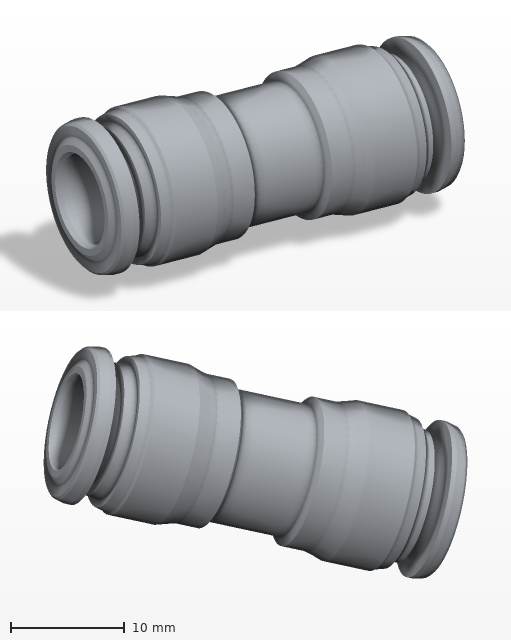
import cadquery as cq
import math


LENGTH = 35.6
MAX_DIAMETER = 14.5

RING_NOSE_RADIUS = 5.02
RING_NOSE_BASE_RADIUS = 5.7
RING_FACE_DEPTH = 0.4
RING_FACE_RADIUS = 6.65
RING_BEVEL_RADIUS = 6.87
RING_BEVEL_DEPTH = 0.6
RING_RADIUS = 7.1
RING_TAPER_DEPTH = 1.53
RING_BACK_DEPTH = 2.0

NECK_RADIUS = 5.02
NECK_FILLET = 0.55

COLLAR_DEPTH = 3.2
COLLAR_FRONT_RADIUS = 5.98
COLLAR_BACK_RADIUS = 6.12

SOCKET_DEPTH = 4.35
SOCKET_FRONT_RADIUS = 6.8
SOCKET_TAPER_RADIUS = 7.05
SOCKET_TAPER_DEPTH = 5.3
SOCKET_RADIUS = MAX_DIAMETER / 2
SOCKET_BEVEL_DEPTH = 5.55
SOCKET_END_DEPTH = 9.83

SHOULDER_RADIUS = 6.73
SHOULDER_DEPTH = 11.65
SHOULDER_END_DEPTH = 14.3
SHOULDER_CHAMFER_DEPTH = 0.43

BARREL_RADIUS = 5.98

BORE_RADIUS = 4.13
BORE_DEPTH = 4.35
BORE_CHAMFER_WIDTH = 0.25
BORE_CHAMFER_DEPTH = 0.5


def half_body():
    """Revolve the -Y half of the union, from its end face to the mid plane."""
    end = -LENGTH / 2
    fillet_middle = NECK_FILLET * (1 - math.sqrt(0.5))
    profile = (
        cq.Workplane("XY")
        .moveTo(0, end + BORE_DEPTH)
        .lineTo(BORE_RADIUS, end + BORE_DEPTH)
        .lineTo(BORE_RADIUS, end + BORE_CHAMFER_DEPTH)
        .lineTo(BORE_RADIUS + BORE_CHAMFER_WIDTH, end)
        .lineTo(RING_NOSE_RADIUS, end)
        .lineTo(RING_NOSE_BASE_RADIUS, end + RING_FACE_DEPTH)
        .lineTo(RING_FACE_RADIUS, end + RING_FACE_DEPTH)
        .lineTo(RING_BEVEL_RADIUS, end + RING_BEVEL_DEPTH)
        .lineTo(RING_RADIUS, end + RING_TAPER_DEPTH)
        .lineTo(RING_RADIUS, end + RING_BACK_DEPTH)
        .lineTo(NECK_RADIUS + NECK_FILLET, end + RING_BACK_DEPTH)
        .threePointArc(
            (NECK_RADIUS + fillet_middle, end + RING_BACK_DEPTH + fillet_middle),
            (NECK_RADIUS, end + RING_BACK_DEPTH + NECK_FILLET),
        )
        .lineTo(NECK_RADIUS, end + COLLAR_DEPTH)
        .lineTo(COLLAR_FRONT_RADIUS, end + COLLAR_DEPTH)
        .lineTo(COLLAR_BACK_RADIUS, end + SOCKET_DEPTH)
        .lineTo(SOCKET_FRONT_RADIUS, end + SOCKET_DEPTH)
        .lineTo(SOCKET_TAPER_RADIUS, end + SOCKET_TAPER_DEPTH)
        .lineTo(SOCKET_RADIUS, end + SOCKET_BEVEL_DEPTH)
        .lineTo(SOCKET_RADIUS, end + SOCKET_END_DEPTH)
        .lineTo(SHOULDER_RADIUS, end + SHOULDER_DEPTH)
        .lineTo(SHOULDER_RADIUS, end + SHOULDER_END_DEPTH - SHOULDER_CHAMFER_DEPTH)
        .lineTo(BARREL_RADIUS, end + SHOULDER_END_DEPTH)
        .lineTo(BARREL_RADIUS, 0)
        .lineTo(0, 0)
        .close()
    )
    return profile.revolve(360, (0, 0, 0), (0, 1, 0))


front_half = half_body()
result = front_half.union(front_half.mirror("XZ"))